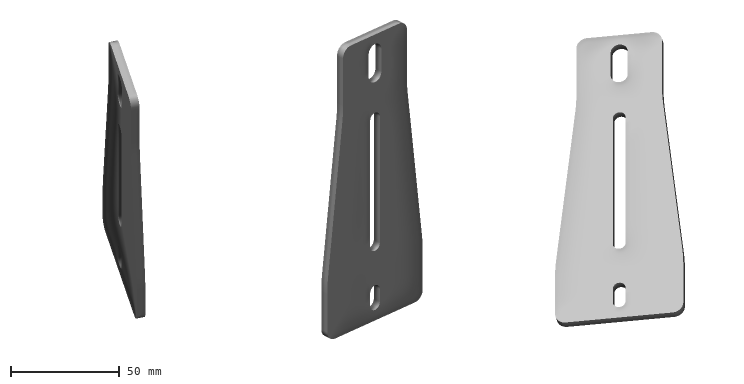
import cadquery as cq
import math

height = 150.6
thickness = 4.0
bottom_width = 60.0
top_width = 40.0
corner_radius = 5.0

lower_bend_z = 29.5
upper_bend_z = 116.5
bend_length = 8.1

bottom_slot = (6.0, 13.0, 12.0)
middle_slot = (6.0, 72.8, 73.0)
top_slot = (8.0, 20.0, 135.6)

taper_angle = math.atan2((bottom_width - top_width) / 2, upper_bend_z - lower_bend_z)
bend_radius = bend_length / 2 / math.tan(taper_angle / 2)


def round_edges_at(body, z, radius):
    """Round the pair of through-thickness edges at height z."""
    margin = 0.2
    half_span = bottom_width
    low = (-half_span, -thickness, z - margin)
    high = (half_span, thickness, z + margin)
    return body.edges("|Y").edges(cq.selectors.BoxSelector(low, high)).fillet(radius)


def make_plate():
    half_bottom = bottom_width / 2
    half_top = top_width / 2
    right_side = [
        (half_bottom, 0),
        (half_bottom, lower_bend_z),
        (half_top, upper_bend_z),
        (half_top, height),
    ]
    left_side = [(-x, z) for x, z in reversed(right_side)]
    plate = (
        cq.Workplane("XZ")
        .polyline(right_side + left_side)
        .close()
        .extrude(thickness / 2, both=True)
    )
    for z in (0, height):
        plate = round_edges_at(plate, z, corner_radius)
    for z in (lower_bend_z, upper_bend_z):
        plate = round_edges_at(plate, z, bend_radius)
    return plate


def slot_cutter(width, length, center_z):
    return (
        cq.Workplane("XZ")
        .center(0, center_z)
        .slot2D(length, width, 90)
        .extrude(thickness, both=True)
    )


result = make_plate()
for slot in (bottom_slot, middle_slot, top_slot):
    result = result.cut(slot_cutter(*slot))